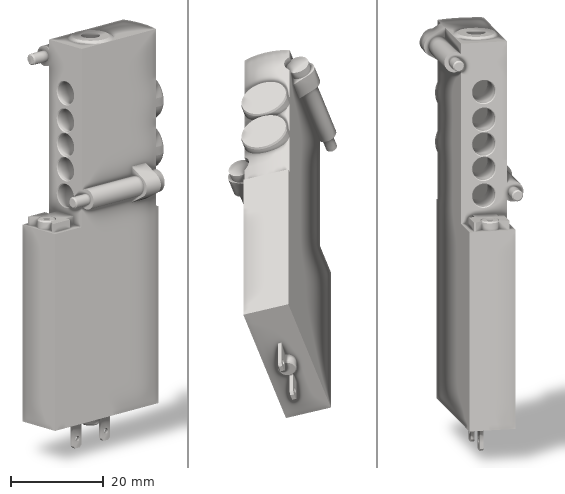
import cadquery as cq
import math


width = 10.2
half_width = width / 2
housing_depth = 30.9
housing_height = 44.1
block_front = 8.0
block_top = 84.0
block_side_back = 30.1

port_diameter = 5.0
port_depth = 7.3
port_lip = 0.2
port_heights = (73.0, 66.9, 61.4, 56.0, 50.05)

boss_y = 15.5
boss_base_diameter = 10.0
boss_top_diameter = 8.2
boss_height = 0.5
boss_hole_diameter = 4.1
boss_hole_depth = 1.4

button_diameter = 10.3
button_back = 32.5
button_rim = 0.5
button_rim_inset = 0.2
button_heights = (67.4, 56.55)

ear_span = 19.5
ear_front = 22.9
ear_back = 27.1
ear_tip_radius = 2.3
ear_slope = math.radians(30)
ear_tip_x = ear_span / 2 - ear_tip_radius
ear_reach = ear_tip_x - half_width
ear_root_half = (ear_tip_radius + ear_reach * math.sin(ear_slope)) / math.cos(ear_slope)

upper_screw_z = block_top - ear_root_half
lower_screw_z = 50.6
screws = ((-1, upper_screw_z), (1, lower_screw_z))
screw_x = 6.5
sleeve_diameter = 4.5
head_diameter = 5.0
head_back = 28.9
recess_drop = 0.5
pin_diameter = 2.5
pin_front = 3.8
pin_chamfer = 0.3

tab_height = 1.9
tab_neck_half = 2.6
tab_half = 3.9
tab_shoulder_y = 5.6
tab_front = 0.6
leg_tip = 0.5
leg_root_x = 1.4
leg_root_y = 2.3
leg_bulge = 0.14
tab_screw_y = 2.4
tab_screw_diameter = 4.0
tab_screw_chamfer = 0.3
socket_diameter = 1.5
socket_depth = 0.55

stud_y = 15.4
stud_diameter = 4.0
stud_length = 2.5
stud_chamfer = 0.3
blade_centres = (11.2, 19.7)
blade_width = 2.5
blade_thickness = 0.8
blade_length = 7.0
blade_chamfer = 0.55
blade_hole_diameter = 1.2
blade_hole_z = -4.9

root = 0.9


def cylinder_y(x, z, diameter, y_start, y_end):
    """Cylinder along Y between two places."""
    return (
        cq.Workplane("XZ", origin=(x, y_start, z))
        .circle(diameter / 2)
        .extrude(y_start - y_end)
    )


def make_block():
    """Valve block with a crowned back and a row of ports in its front."""
    block = (
        cq.Workplane("XY")
        .moveTo(-half_width, block_front)
        .lineTo(half_width, block_front)
        .lineTo(half_width, block_side_back)
        .threePointArc((0, housing_depth), (-half_width, block_side_back))
        .close()
        .extrude(block_top)
    )
    for z in port_heights:
        block = block.cut(cylinder_y(0, z, port_diameter, block_front, block_front + port_depth))
        lip = (
            cq.Workplane("XZ", origin=(0, block_front, z))
            .circle(port_diameter / 2 + port_lip)
            .workplane(offset=-port_lip)
            .circle(port_diameter / 2)
            .loft()
        )
        block = block.cut(lip)
    return block


def make_boss():
    """Low cone on the top of the valve block."""
    return (
        cq.Workplane("XY", origin=(0, boss_y, block_top))
        .circle(boss_base_diameter / 2)
        .workplane(offset=boss_height)
        .circle(boss_top_diameter / 2)
        .loft()
    )


def make_boss_hole():
    return (
        cq.Workplane("XY", origin=(0, boss_y, block_top + boss_height))
        .circle(boss_hole_diameter / 2)
        .extrude(-boss_hole_depth)
    )


def make_button(z):
    """Round button with a bevelled rim and two flats at the block sides."""
    radius = button_diameter / 2
    button_front = block_side_back - root
    profile = [
        (0, button_front),
        (radius, button_front),
        (radius, button_back - button_rim),
        (radius - button_rim_inset, button_back),
        (0, button_back),
    ]
    button = (
        cq.Workplane("XY", origin=(0, 0, z))
        .polyline(profile)
        .close()
        .revolve(360, (0, 0, 0), (0, 1, 0))
    )
    trim = cq.Workplane("XY", origin=(0, 0, z)).box(width, 3 * button_back, 2 * button_diameter)
    return button.intersect(trim)


def make_ear(side, z):
    """Tapered ear with a rounded tip, flanks tangent to the tip."""
    flank_x = side * (ear_tip_x + ear_tip_radius * math.sin(ear_slope))
    flank_z = ear_tip_radius * math.cos(ear_slope)
    inner_x = side * (half_width - root)
    return (
        cq.Workplane("XZ", origin=(0, ear_front, z))
        .moveTo(inner_x, -ear_root_half)
        .lineTo(side * half_width, -ear_root_half)
        .lineTo(flank_x, -flank_z)
        .threePointArc((side * (ear_tip_x + ear_tip_radius), 0), (flank_x, flank_z))
        .lineTo(side * half_width, ear_root_half)
        .lineTo(inner_x, ear_root_half)
        .close()
        .extrude(ear_front - ear_back)
    )


def make_screw(side, z):
    """Mounting screw: head behind the ear, sleeve along the block, pin in front."""
    x = side * screw_x
    head = cylinder_y(x, z, head_diameter, ear_back - root, head_back)
    sleeve = cylinder_y(x, z, sleeve_diameter, block_front, ear_front + root)
    pin = cylinder_y(x, z, pin_diameter, pin_front, block_front + root)
    pin = pin.faces("<Y").chamfer(pin_chamfer)
    return head.union(sleeve).union(pin)


def make_tab():
    """T-shaped connector tab whose front is opened between two legs."""
    tip_x = tab_half - leg_tip
    mid_x = (tip_x + leg_root_x) / 2
    mid_y = (tab_front + leg_root_y) / 2 - leg_bulge
    tab = (
        cq.Workplane("XY", origin=(0, 0, housing_height))
        .moveTo(-tab_neck_half, block_front)
        .lineTo(-tab_neck_half, tab_shoulder_y)
        .lineTo(-tab_half, tab_shoulder_y)
        .lineTo(-tab_half, tab_front)
        .lineTo(-tip_x, tab_front)
        .threePointArc((-mid_x, mid_y), (-leg_root_x, leg_root_y))
        .lineTo(leg_root_x, leg_root_y)
        .threePointArc((mid_x, mid_y), (tip_x, tab_front))
        .lineTo(tab_half, tab_front)
        .lineTo(tab_half, tab_shoulder_y)
        .lineTo(tab_neck_half, tab_shoulder_y)
        .lineTo(tab_neck_half, block_front)
        .close()
        .extrude(tab_height)
    )
    screw_base = cq.Workplane("XY", origin=(0, tab_screw_y, housing_height))
    clearance = screw_base.circle(tab_screw_diameter / 2).extrude(tab_height)
    screw = clearance.faces(">Z").chamfer(tab_screw_chamfer)
    socket = (
        screw_base.workplane(offset=tab_height)
        .circle(socket_diameter / 2)
        .extrude(-socket_depth)
    )
    return tab.cut(clearance).union(screw).cut(socket)


def make_stud():
    return (
        cq.Workplane("XY", origin=(0, stud_y, 0))
        .circle(stud_diameter / 2)
        .extrude(-stud_length)
        .faces("<Z")
        .chamfer(stud_chamfer)
    )


def make_blade(y):
    """Flat contact blade with cut corners and a cross hole."""
    blade = (
        cq.Workplane("XY", origin=(0, y, 0))
        .rect(blade_thickness, blade_width)
        .extrude(-blade_length)
        .faces("<Z")
        .edges("|X")
        .chamfer(blade_chamfer)
    )
    hole = (
        cq.Workplane("YZ", origin=(0, y, blade_hole_z))
        .circle(blade_hole_diameter / 2)
        .extrude(blade_thickness, both=True)
    )
    return blade.cut(hole)


housing = cq.Workplane("XY").box(width, housing_depth, housing_height, centered=(True, False, False))
result = housing.union(make_block()).union(make_boss()).cut(make_boss_hole())

for side, z in screws:
    recess = cylinder_y(side * screw_x, z - recess_drop, head_diameter, head_back, housing_depth)
    result = result.cut(recess)
    result = result.union(make_ear(side, z)).union(make_screw(side, z))

for z in button_heights:
    result = result.union(make_button(z))

result = result.union(make_tab()).union(make_stud())

for y in blade_centres:
    result = result.union(make_blade(y))